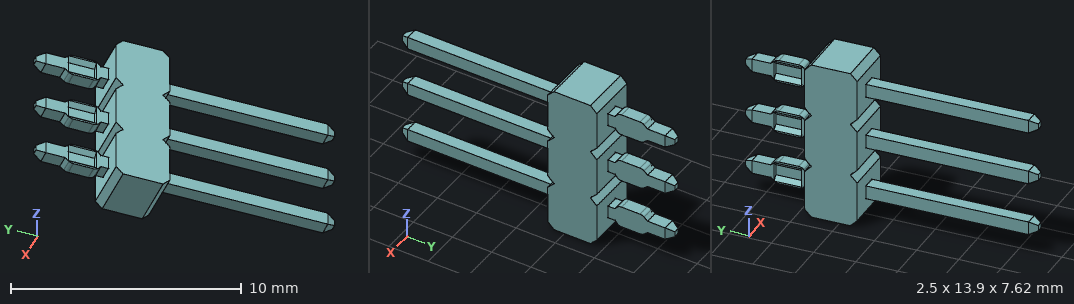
import cadquery as cq
import math

OVERALL_LENGTH = 13.9
PIN_COUNT = 3

HOUSING_WIDTH = 2.5
HOUSING_DEPTH = 2.5
HOUSING_HEIGHT = 7.62
CHAMFER = 0.32
PITCH = HOUSING_HEIGHT / PIN_COUNT

PIN_SIZE = 0.64
TAIL_LENGTH = 3.3
TIP_LENGTH = 0.39
TIP_SIZE = 0.28
REAR_END = HOUSING_DEPTH / 2 + TAIL_LENGTH
FRONT_END = REAR_END - OVERALL_LENGTH

SWELL_HEIGHT = 1.1
SWELL_REAR = REAR_END - 1.28
SWELL_FRONT = REAR_END - 2.95
REAR_SLOPE = math.radians(40)
FRONT_SLOPE = math.radians(50)
SHOULDER_RADIUS = 0.32

GROOVE_REAR = REAR_END - 1.43
GROOVE_LENGTH = 1.3
GROOVE_MOUTH = 0.92
GROOVE_FLOOR = 0.5
GROOVE_DEPTH = 0.21


def box(width, depth, height, y_middle, z_middle):
    return cq.Workplane("XY").box(width, depth, height).translate((0, y_middle, z_middle))


def make_segment(z_middle):
    """One housing cell: an octagonal Y-Z outline extruded along X."""
    half_depth = HOUSING_DEPTH / 2
    half_height = PITCH / 2
    flat_y = half_depth - CHAMFER
    flat_z = half_height - CHAMFER
    outline = [
        (-half_depth, -flat_z),
        (-flat_y, -half_height),
        (flat_y, -half_height),
        (half_depth, -flat_z),
        (half_depth, flat_z),
        (flat_y, half_height),
        (-flat_y, half_height),
        (-half_depth, flat_z),
    ]
    segment = cq.Workplane("YZ").polyline(outline).close().extrude(HOUSING_WIDTH / 2, both=True)
    return segment.translate((0, 0, z_middle))


def make_housing(pin_heights):
    housing = cq.Workplane("XY")
    for z_middle in pin_heights:
        housing = housing.union(make_segment(z_middle))
    for z_middle in pin_heights:
        housing = housing.cut(box(PIN_SIZE, HOUSING_DEPTH, PIN_SIZE, 0, z_middle))
    return housing


def make_tip(base_y, direction):
    """Square taper from the full pin section at base_y; direction is +1 or -1 along Y."""
    base = cq.Plane(origin=(0, base_y, 0), xDir=(1, 0, 0), normal=(0, direction, 0))
    return (
        cq.Workplane(base)
        .rect(PIN_SIZE, PIN_SIZE)
        .workplane(offset=TIP_LENGTH)
        .rect(TIP_SIZE, TIP_SIZE)
        .loft(ruled=True)
    )


def shoulder_points(foot_y, slope, direction):
    """Foot, arc start, arc middle and arc end of an upper shoulder rising in direction."""
    top_z = SWELL_HEIGHT / 2
    foot_z = PIN_SIZE / 2
    arc_drop = SHOULDER_RADIUS * (1 - math.cos(slope))
    arc_start_z = top_z - arc_drop
    arc_start_y = foot_y + direction * (arc_start_z - foot_z) / math.tan(slope)
    arc_end_y = arc_start_y + direction * SHOULDER_RADIUS * math.sin(slope)
    middle_y = arc_end_y - direction * SHOULDER_RADIUS * math.sin(slope / 2)
    middle_z = top_z - SHOULDER_RADIUS * (1 - math.cos(slope / 2))
    return (foot_y, foot_z), (arc_start_y, arc_start_z), (middle_y, middle_z), (arc_end_y, top_z)


def make_swell():
    """Upper half outline from the pin axis, extruded along X and mirrored below the axis."""
    front_foot, front_start, front_middle, front_top = shoulder_points(SWELL_FRONT, FRONT_SLOPE, 1)
    rear_foot, rear_start, rear_middle, rear_top = shoulder_points(SWELL_REAR, REAR_SLOPE, -1)
    upper = (
        cq.Workplane("YZ")
        .moveTo(SWELL_FRONT, 0)
        .lineTo(*front_foot)
        .lineTo(*front_start)
        .threePointArc(front_middle, front_top)
        .lineTo(*rear_top)
        .threePointArc(rear_middle, rear_start)
        .lineTo(*rear_foot)
        .lineTo(SWELL_REAR, 0)
        .close()
        .extrude(PIN_SIZE / 2, both=True)
    )
    return upper.union(upper.mirror("XY"))


def make_groove():
    """Trapezoid in X-Z, extruded along the pin between upright end walls."""
    face_x = -PIN_SIZE / 2
    floor_x = face_x + GROOVE_DEPTH
    section = [
        (face_x, -GROOVE_MOUTH / 2),
        (floor_x, -GROOVE_FLOOR / 2),
        (floor_x, GROOVE_FLOOR / 2),
        (face_x, GROOVE_MOUTH / 2),
    ]
    rear_plane = cq.Workplane("XZ", origin=(0, GROOVE_REAR, 0))
    return rear_plane.polyline(section).close().extrude(GROOVE_LENGTH)


def make_pin(z_middle):
    shaft_rear = REAR_END - TIP_LENGTH
    shaft_front = FRONT_END + TIP_LENGTH
    shaft_length = shaft_rear - shaft_front
    pin = box(PIN_SIZE, shaft_length, PIN_SIZE, (shaft_rear + shaft_front) / 2, 0)
    pin = pin.union(make_tip(shaft_rear, 1))
    pin = pin.union(make_tip(shaft_front, -1))
    pin = pin.union(make_swell())
    pin = pin.cut(make_groove())
    return pin.translate((0, 0, z_middle))


pin_heights = [(index - (PIN_COUNT - 1) / 2) * PITCH for index in range(PIN_COUNT)]
housing = make_housing(pin_heights)
pins = [make_pin(z_middle) for z_middle in pin_heights]

result = cq.Compound.makeCompound([housing.val(), *[pin.val() for pin in pins]])